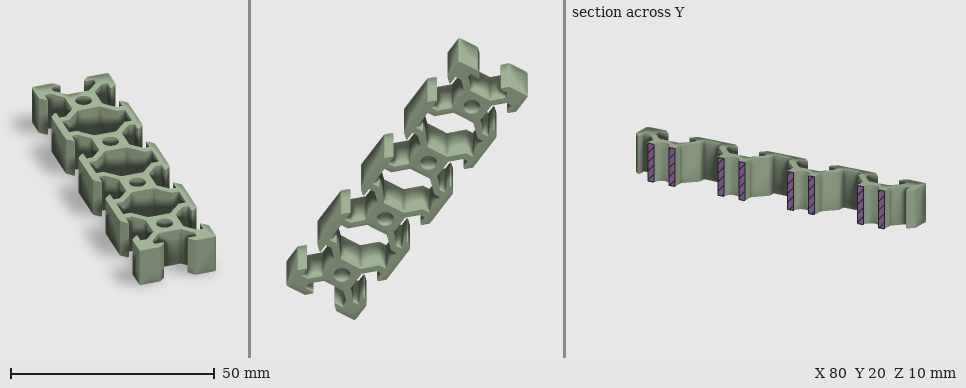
import cadquery as cq
import math

cell_count = 4
cell_size = 20.0
height = 10.0
half_cell = cell_size / 2

bore_diameter = 4.2
edge_radius = 0.5

mouth_half_width = 4.6
throat_half_width = 3.1
slot_half_width = 5.5
lip_tip_height = 0.36

core_half_width = 3.9
web_thickness = 1.5

bevel_depth = mouth_half_width - throat_half_width
lip_thickness = bevel_depth + lip_tip_height
wall_thickness = lip_thickness

web_offset = web_thickness / math.sqrt(2)
lip_inner = half_cell - lip_thickness
bore_centers = [((i - (cell_count - 1) / 2) * cell_size, 0) for i in range(cell_count)]


def mirrored_outline(half_outline):
    """Close a half outline (x > 0) with its mirror image across the Y axis."""
    return half_outline + [(-x, y) for x, y in reversed(half_outline)]


def make_prism(outline):
    return cq.Workplane("XY").polyline(outline).close().extrude(height)


def make_body():
    """Solid bar with rounded corner edges."""
    bar = cq.Workplane("XY").rect(cell_count * cell_size, cell_size).extrude(height)
    return bar.edges("|Z").fillet(edge_radius)


def make_slot():
    """Cutter for a V slot that opens toward +Y, with the cell centre at the origin."""
    half_outline = [
        (mouth_half_width, half_cell),
        (throat_half_width, half_cell - bevel_depth),
        (throat_half_width, lip_inner),
        (slot_half_width, lip_inner),
        (slot_half_width, slot_half_width + web_offset),
        (core_half_width - web_offset, core_half_width),
    ]
    return make_prism(mirrored_outline(half_outline))


def make_end_slot():
    """Cutter for the V slot at the +X end of the bar."""
    return make_slot().rotate((0, 0, 0), (0, 0, 1), -90).translate((bore_centers[-1][0], 0, 0))


def make_cavity():
    """Cutter for the closed chamber between two neighbouring cells."""
    side = half_cell - core_half_width
    neck = half_cell - slot_half_width - wall_thickness
    half_outline = [
        (neck, lip_inner),
        (neck, half_cell - neck - web_offset),
        (side, core_half_width - web_offset),
        (side, -core_half_width + web_offset),
        (neck, -half_cell + neck + web_offset),
        (neck, -lip_inner),
    ]
    return make_prism(mirrored_outline(half_outline))


def make_profile():
    body = make_body()
    slot = make_slot()
    for x, y in bore_centers:
        body = body.cut(slot.translate((x, y, 0)))
        body = body.cut(slot.mirror("XZ").translate((x, y, 0)))
    end_slot = make_end_slot()
    body = body.cut(end_slot).cut(end_slot.mirror("YZ"))
    cavity = make_cavity()
    for x, y in bore_centers[:-1]:
        body = body.cut(cavity.translate((x + half_cell, y, 0)))
    bores = cq.Workplane("XY").pushPoints(bore_centers).circle(bore_diameter / 2).extrude(height)
    return body.cut(bores)


def mouth_edge_points():
    """Points at mid height on the outer edges of every V slot mouth."""
    end_x = cell_count * cell_size / 2
    points = []
    for side in (-1, 1):
        for half in (-mouth_half_width, mouth_half_width):
            points += [(x + half, side * half_cell, height / 2) for x, _ in bore_centers]
            points.append((side * end_x, half, height / 2))
    return points


def round_mouths(profile):
    """Round the edges where the outer faces turn into the slot bevels."""
    edges = cq.Workplane("XY")
    for point in mouth_edge_points():
        edges = edges.add(profile.edges(cq.selectors.NearestToPointSelector(point)))
    return cq.Workplane(profile.val().fillet(edge_radius, edges.vals()))


result = round_mouths(make_profile())